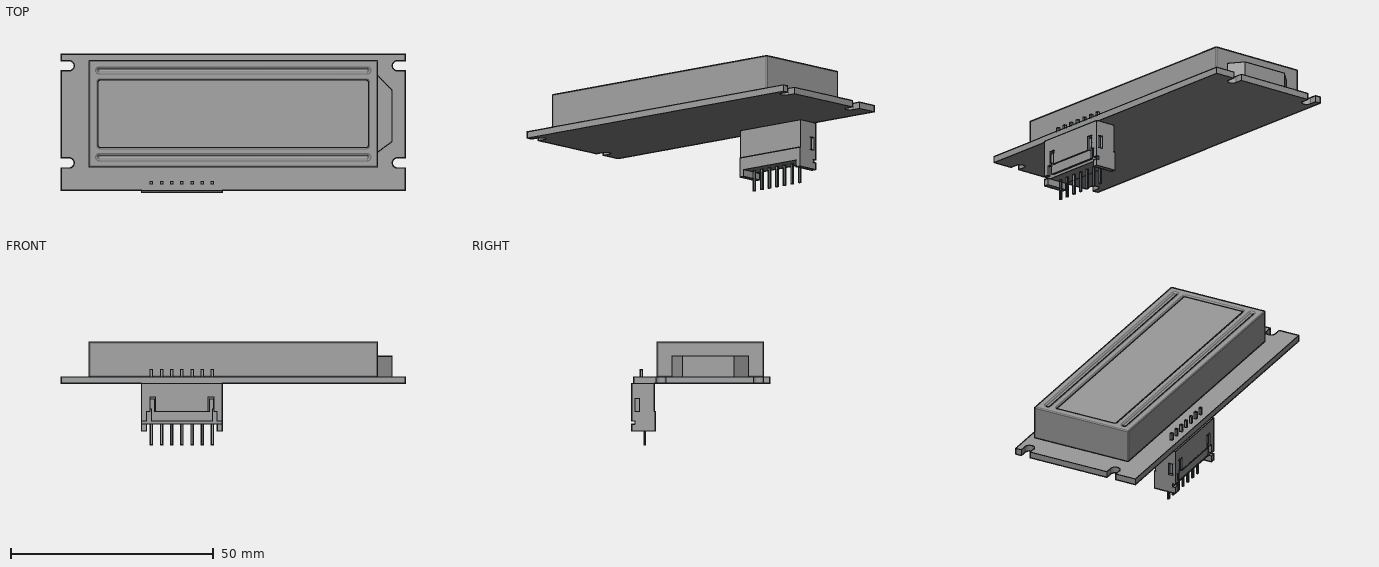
import cadquery as cq
import math


board_length = 85.0
board_width = 33.6
board_thickness = 1.6
notch_width = 2.5
notch_depth = 3.2
notch_row_offset = 12.0
notch_row_centre_y = 1.95

frame_length = 71.2
frame_width = 26.35
frame_height = 8.7
frame_back_margin = 1.5
frame_edge_radius = 0.25

screen_length = 67.3
screen_width = 17.25
screen_depth = 0.4
screen_corner_radius = 0.8
screen_rim_radius = 0.3

groove_length = 67.9
groove_width = 1.8
groove_lip_width = 0.5
groove_wall_slope = 60
groove_row_offset = 10.7

tab_height = 5.1
tab_reach = 39.2
tab_root_y = (11.6, -7.4)
tab_tip_y = (7.9, -4.8)

connector_length = 20.0
connector_centre_x = -12.7
connector_overhang = 0.5
header_height = 6.9
header_width = 5.6
plug_width = 5.9
plug_body_bottom = 10.0
leg_width = 1.3
leg_bottom = 11.7

relief_depth = 0.8
relief_bottom = 9.3
latch_band_length = 15.05
latch_recess = 0.25
latch_arm_width = 1.0
latch_arm_span = 15.6
latch_arm_top = 3.8
latch_step = 6.3
latch_slot_width = 1.45
latch_slot_top = 3.3
latch_slot_span = 15.8

side_pocket_top = 3.7
side_pocket_width = 1.1
side_pocket_setback = 0.8
side_pocket_depth = 0.8

pin_count = 7
pin_row_length = 15.05
pin_width = 0.6
upper_pin_height = 1.8
upper_pin_setback = 1.9
lower_pin_thickness = 0.3
lower_pin_setback = 3.2
overall_height = 25.4

latch_thickness = relief_depth - latch_recess
pin_pitch = pin_row_length / (pin_count - 1)
board_front_y = -board_width / 2
frame_centre_y = board_width / 2 - frame_back_margin - frame_width / 2
frame_top_z = board_thickness + frame_height
lower_pin_bottom = overall_height - frame_top_z
connector_front_y = board_front_y - connector_overhang


def block(x_range, y_range, z_range):
    """Rectangular block spanning the given coordinate ranges."""
    spans = (x_range, y_range, z_range)
    sizes = [high - low for low, high in spans]
    low_corner = [low for low, high in spans]
    return cq.Workplane("XY").box(*sizes, centered=False).translate(tuple(low_corner))


def connector_block(x_centre, length, setback, depth, top, bottom):
    """Block set back from the connector front; top and bottom are drops below the board."""
    return block(
        (x_centre - length / 2, x_centre + length / 2),
        (connector_front_y + setback, connector_front_y + setback + depth),
        (-bottom, -top),
    )


def make_board():
    board = cq.Workplane("XY").box(board_length, board_width, board_thickness, centered=(True, True, False))
    notch_centres = [
        (x, notch_row_centre_y + row * notch_row_offset)
        for x in (-board_length / 2, board_length / 2)
        for row in (-1, 1)
    ]
    notches = (
        cq.Workplane("XY").pushPoints(notch_centres)
        .slot2D(2 * notch_depth, notch_width).extrude(board_thickness)
    )
    return board.cut(notches)


def make_groove(y):
    """Groove cutter: a rounded lip runs into a rounded floor at a common slope."""
    slope = math.radians(groove_wall_slope)
    half_width = groove_width / 2
    wall_x = half_width - groove_lip_width
    lip_radius = groove_lip_width / math.sin(slope)
    floor_radius = wall_x / math.sin(slope)
    wall_z = -lip_radius * (1 - math.cos(slope))
    floor_z = wall_z - floor_radius * (1 - math.cos(slope))
    straight_half = (groove_length - groove_width) / 2

    def half_profile():
        return (
            cq.Workplane("YZ").lineTo(half_width, 0)
            .radiusArc((wall_x, wall_z), -lip_radius)
            .radiusArc((0, floor_z), floor_radius).close()
        )

    half_groove = half_profile().extrude(straight_half, both=True)
    end = half_profile().revolve(360, (0, 0, 0), (0, 1, 0))
    cutter = half_groove.union(half_groove.mirror("XZ"))
    for side in (-1, 1):
        cutter = cutter.union(end.translate((side * straight_half, 0, 0)))
    return cutter.translate((0, y, frame_top_z))


def make_frame():
    frame = (
        cq.Workplane("XY", origin=(0, frame_centre_y, board_thickness))
        .box(frame_length, frame_width, frame_height, centered=(True, True, False))
        .edges().fillet(frame_edge_radius)
    )
    screen = (
        cq.Workplane("XY", origin=(0, frame_centre_y, frame_top_z - screen_depth))
        .rect(screen_length - 2 * screen_rim_radius, screen_width - 2 * screen_rim_radius)
        .extrude(frame_height)
        .edges("|Z").fillet(screen_corner_radius - screen_rim_radius)
    )
    frame = frame.cut(screen)
    rim_half_length = screen_length / 2
    rim_half_width = screen_width / 2
    rim_box = cq.selectors.BoxSelector(
        (-rim_half_length, frame_centre_y - rim_half_width, frame_top_z - screen_depth / 2),
        (rim_half_length, frame_centre_y + rim_half_width, frame_top_z + screen_depth / 2),
    )
    frame = frame.edges(rim_box).edges("not |Z").fillet(screen_rim_radius)
    for side in (-1, 1):
        frame = frame.cut(make_groove(frame_centre_y + side * groove_row_offset))
    return frame


def make_tab():
    root_x = frame_length / 2 - frame_edge_radius
    return (
        cq.Workplane("XY", origin=(0, 0, board_thickness))
        .polyline([
            (root_x, tab_root_y[0]), (frame_length / 2, tab_root_y[0]),
            (tab_reach, tab_tip_y[0]), (tab_reach, tab_tip_y[1]),
            (frame_length / 2, tab_root_y[1]), (root_x, tab_root_y[1]),
        ])
        .close().extrude(tab_height)
    )


def make_connector():
    centre = connector_centre_x
    connector = connector_block(centre, connector_length, 0, header_width, 0, header_height)
    plug = connector_block(centre, connector_length, 0, plug_width, header_height, leg_bottom)
    inner_length = connector_length - 2 * leg_width
    plug = plug.cut(connector_block(centre, inner_length, 0, plug_width, plug_body_bottom, leg_bottom))
    plug = plug.cut(connector_block(centre, inner_length, 0, relief_depth, header_height, relief_bottom))
    plug = plug.cut(
        connector_block(centre, connector_length, 0, relief_depth, relief_bottom, plug_body_bottom)
    )
    connector = connector.union(plug)
    for side in (-1, 1):
        slot_x = centre + side * (latch_slot_span - latch_slot_width) / 2
        connector = connector.cut(
            connector_block(slot_x, latch_slot_width, 0, relief_depth, latch_slot_top, header_height)
        )
        pocket_x = centre + side * (connector_length - side_pocket_depth) / 2
        connector = connector.cut(
            connector_block(
                pocket_x, side_pocket_depth, side_pocket_setback, side_pocket_width,
                side_pocket_top, header_height,
            )
        )
    return connector.union(make_latch())


def make_latch():
    """U-shaped latch: a cross band with an arm standing in each header slot."""
    centre = connector_centre_x
    latch = connector_block(
        centre, latch_band_length, latch_recess, latch_thickness, header_height, relief_bottom
    )
    arm_inner = latch_arm_span / 2 - latch_arm_width
    arm_root_width = latch_band_length / 2 - arm_inner
    for side in (-1, 1):
        arm_x = centre + side * (arm_inner + latch_arm_width / 2)
        root_x = centre + side * (arm_inner + arm_root_width / 2)
        latch = latch.union(
            connector_block(arm_x, latch_arm_width, latch_recess, latch_thickness, latch_arm_top, latch_step)
        )
        latch = latch.union(
            connector_block(root_x, arm_root_width, latch_recess, latch_thickness, latch_step, header_height)
        )
    return latch


def make_pins():
    """Separate solids for the pin tails above the board and the pins below the plug."""
    pins = []
    upper_y = board_front_y + upper_pin_setback
    lower_y = connector_front_y + lower_pin_setback
    for index in range(pin_count):
        x = connector_centre_x + (index - (pin_count - 1) / 2) * pin_pitch
        x_range = (x - pin_width / 2, x + pin_width / 2)
        upper_y_range = (upper_y - pin_width / 2, upper_y + pin_width / 2)
        lower_y_range = (lower_y - lower_pin_thickness / 2, lower_y + lower_pin_thickness / 2)
        pins.append(block(x_range, upper_y_range, (0, board_thickness + upper_pin_height)))
        pins.append(block(x_range, lower_y_range, (-lower_pin_bottom, -header_height)))
    return pins


result = make_board().union(make_frame()).union(make_tab()).union(make_connector())
for pin in make_pins():
    result = result.union(pin)